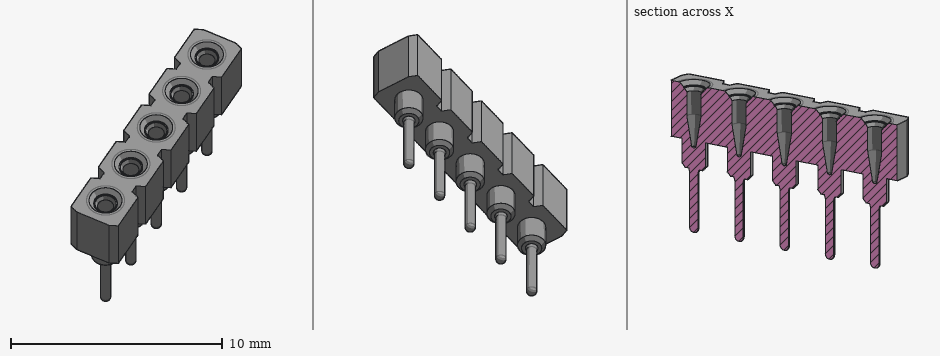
import cadquery as cq

pin_count = 5
pitch = 2.54
body_width = 2.54
body_length = pin_count * pitch
body_height = 2.8

notch_depth = 0.41
notch_floor = 0.40
slope_run = 0.175

sleeve_radius = 0.90
sleeve_length = body_height / 2
barrel_radius = 0.67
barrel_length = 1.21
barrel_chamfer_height = 0.20
barrel_end_radius = 0.48
neck_radius = 0.30
neck_height = 0.15
pin_radius = 0.25
pin_length = 4.57

mouth_radius = 0.78
shelf_outer_radius = 0.56
mouth_depth = 0.20
shelf_depth = 0.25
shelf_inner_radius = 0.50
bore_radius = 0.38
bore_start_depth = 0.43
taper_start_depth = 1.6
taper_end_radius = 0.10
taper_end_depth = 3.1
point_depth = 3.15


def make_body():
    """Extrude the notched outline of the insulating body."""
    half_width = body_width / 2
    half_length = body_length / 2
    notch_x = half_width - notch_depth

    right_side = [
        (notch_x, -half_length),
        (half_width, -half_length + slope_run),
    ]
    for i in range(1, pin_count):
        notch_y = -half_length + i * pitch
        inner = notch_floor / 2
        outer = inner + slope_run
        right_side += [
            (half_width, notch_y - outer),
            (notch_x, notch_y - inner),
            (notch_x, notch_y + inner),
            (half_width, notch_y + outer),
        ]
    right_side += [
        (half_width, half_length - slope_run),
        (notch_x, half_length),
    ]
    left_side = [(-x, y) for x, y in reversed(right_side)]
    return cq.Workplane("XY").polyline(right_side + left_side).close().extrude(body_height)


def make_pin():
    """Revolve the sleeve inside the body, and the barrel, neck and round-ended pin below it."""
    barrel_end_z = -barrel_length - barrel_chamfer_height
    sleeve_bottom_z = body_height - sleeve_length
    dome_z = -pin_length + pin_radius
    return (
        cq.Workplane("YZ")
        .moveTo(0, body_height)
        .lineTo(sleeve_radius, body_height)
        .lineTo(sleeve_radius, sleeve_bottom_z)
        .lineTo(barrel_radius, sleeve_bottom_z)
        .lineTo(barrel_radius, -barrel_length)
        .lineTo(barrel_end_radius, barrel_end_z)
        .lineTo(neck_radius, barrel_end_z)
        .lineTo(pin_radius, barrel_end_z - neck_height)
        .lineTo(pin_radius, dome_z)
        .radiusArc((0, -pin_length), pin_radius)
        .close()
        .revolve(360, (0, 0, 0), (0, 1, 0))
    )


def make_socket():
    """Revolve the stepped, funnel-shaped cavity that receives a mating pin."""
    top = body_height
    return (
        cq.Workplane("YZ")
        .moveTo(0, top)
        .lineTo(mouth_radius, top)
        .lineTo(shelf_outer_radius, top - mouth_depth)
        .lineTo(shelf_outer_radius, top - shelf_depth)
        .lineTo(shelf_inner_radius, top - shelf_depth)
        .lineTo(bore_radius, top - bore_start_depth)
        .lineTo(bore_radius, top - taper_start_depth)
        .lineTo(taper_end_radius, top - taper_end_depth)
        .lineTo(0, top - point_depth)
        .close()
        .revolve(360, (0, 0, 0), (0, 1, 0))
    )


pin = make_pin()
socket = make_socket()
result = make_body()
for i in range(pin_count):
    position = (0, (i - (pin_count - 1) / 2) * pitch, 0)
    result = result.union(pin.translate(position), clean=False)
    result = result.cut(socket.translate(position), clean=False)